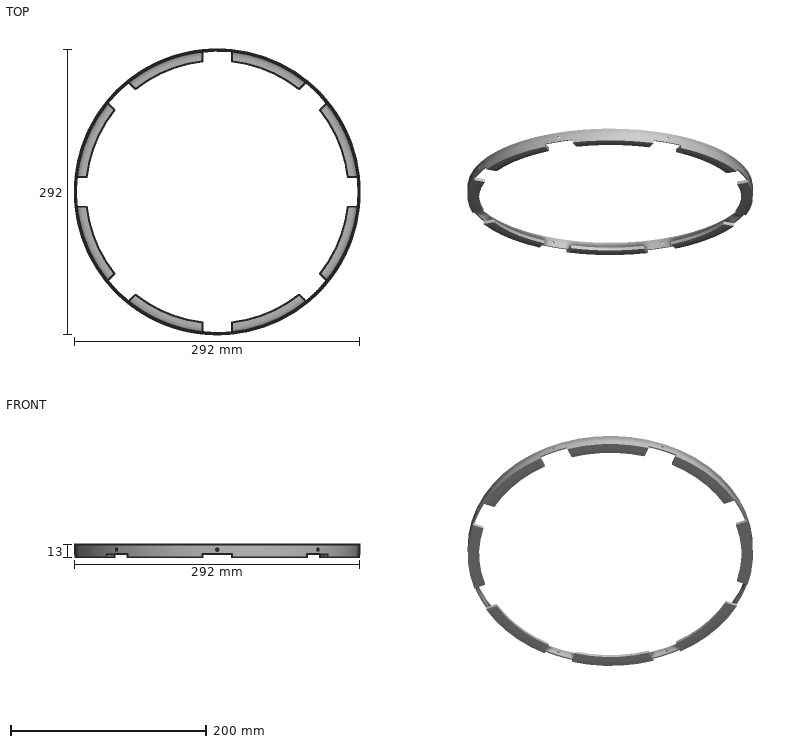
import cadquery as cq

outer_diameter = 292.0
band_inner_diameter = 288.8
band_height = 13.0

flange_inner_diameter = 268.5
flange_thickness = 3.2

station_count = 8
notch_width = 30.0
notch_height = flange_thickness
hole_diameter = 2.42
hole_height = 8.0


def ring(inner_diameter, height):
    """Ring standing on Z = 0 with the common outer diameter."""
    return cq.Workplane("XY").circle(outer_diameter / 2).circle(inner_diameter / 2).extrude(height)


def notch_cutter():
    """Block that cuts the flange and the lower band at the +X station."""
    return cq.Workplane("XY").box(outer_diameter, notch_width, notch_height, centered=(False, True, False))


def hole_cutter():
    """Radial cylinder that pierces the band at the +X station."""
    return cq.Workplane("YZ").center(0, hole_height).circle(hole_diameter / 2).extrude(outer_diameter)


band = ring(band_inner_diameter, band_height)
flange = ring(flange_inner_diameter, flange_thickness)
result = band.union(flange)

for station in range(station_count):
    angle = station * 360 / station_count
    for cutter in (notch_cutter(), hole_cutter()):
        result = result.cut(cutter.rotate((0, 0, 0), (0, 0, 1), angle))